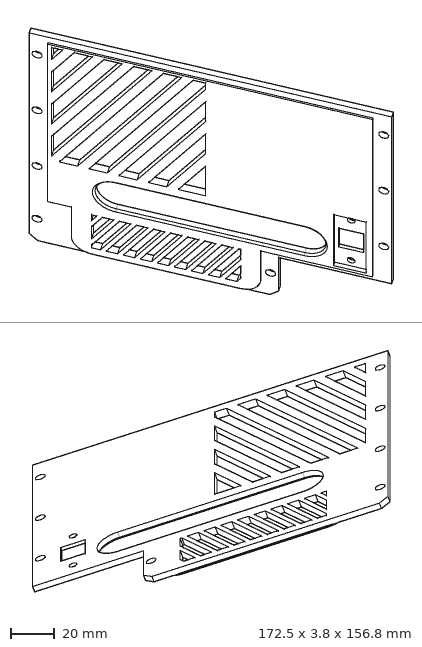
import cadquery as cq
import math

plate_width = 172.5
plate_height = 156.8
total_thickness = 3.8
panel_rise = 0.9
plate_thickness = total_thickness - panel_rise
step_x = 118.7
step_z = 29.7
corner_chamfer = 4.1

panel_side_margin = 9.0
panel_top_margin = 4.1
panel_step_z = 32.8
panel_tab_left = 20.4
panel_tab_right = 110.5
panel_tab_bottom = 0.5
panel_tab_radius = 10.0

mount_hole_diameter = 4.7
mount_hole_inset = 3.8
mount_hole_top_z = 141.7
mount_hole_pitch = 42.5
mount_hole_rows = 3
tab_hole_x = step_x - mount_hole_inset
tab_hole_z = 16.5

vent_angle = 60.0

handle_left = 30.4
handle_right = 142.2
handle_bottom = 37.0
handle_top = 59.0
handle_chamfer = 1.0

recess_left = 145.1
recess_bottom = 34.5
recess_width = 15.5
recess_height = 38.8
recess_depth = 2.0
window_width = 11.9
window_height = 14.1
screw_hole_diameter = 3.6
screw_hole_spacing = 30.4

front_y = -total_thickness


def front_plane(y):
    """Sketch plane at depth y with local x = X and local y = Z; extrusions go toward -Y."""
    return cq.Workplane("XZ", origin=(0, y, 0))


def rectangle(y, left, bottom, width, height, depth):
    """Block with its lower left corner given, running from y toward the front."""
    return front_plane(y).center(left, bottom).rect(width, height, centered=False).extrude(depth)


def make_plate():
    outline = [
        (corner_chamfer, 0),
        (step_x - corner_chamfer, 0),
        (step_x, corner_chamfer),
        (step_x, step_z),
        (plate_width, step_z),
        (plate_width, plate_height),
        (0, plate_height),
        (0, corner_chamfer),
    ]
    return front_plane(0).polyline(outline).close().extrude(plate_thickness)


def make_panel():
    main_width = plate_width - 2 * panel_side_margin
    main_height = plate_height - panel_top_margin - panel_step_z
    tab_width = panel_tab_right - panel_tab_left
    tab_height = panel_step_z - panel_tab_bottom
    main = rectangle(-plate_thickness, panel_side_margin, panel_step_z, main_width, main_height, panel_rise)
    tab = rectangle(-plate_thickness, panel_tab_left, panel_tab_bottom, tab_width, tab_height, panel_rise)
    return main.union(tab.edges("|Y and <Z").fillet(panel_tab_radius))


def make_mount_holes():
    points = [(mount_hole_inset, tab_hole_z), (tab_hole_x, tab_hole_z)]
    for row in range(mount_hole_rows):
        z = mount_hole_top_z - row * mount_hole_pitch
        points.append((mount_hole_inset, z))
        points.append((plate_width - mount_hole_inset, z))
    return front_plane(0).pushPoints(points).circle(mount_hole_diameter / 2).extrude(total_thickness)


def make_vent(left, bottom, width, height, first_bar, bar_count, bar_run, pitch_run):
    """Opening crossed by slanted bars.

    first_bar is the distance from the top left corner to the first bar;
    it, bar_run and pitch_run are all measured along X.
    """
    opening = rectangle(0, left, bottom, width, height, total_thickness)
    lean = height / math.tan(math.radians(vent_angle))
    for bar in range(bar_count):
        top_x = left + first_bar + bar * pitch_run
        outline = [
            (top_x, bottom + height),
            (top_x + bar_run, bottom + height),
            (top_x + bar_run - lean, bottom),
            (top_x - lean, bottom),
        ]
        opening = opening.cut(front_plane(0).polyline(outline).close().extrude(total_thickness))
    return opening


def make_handle_opening():
    width = handle_right - handle_left
    height = handle_top - handle_bottom
    center_x = (handle_left + handle_right) / 2
    center_z = (handle_bottom + handle_top) / 2
    inner = front_plane(0).center(center_x, center_z)
    inner = inner.slot2D(width - 2 * handle_chamfer, height - 2 * handle_chamfer).extrude(total_thickness)
    outer = front_plane(front_y).center(center_x, center_z).slot2D(width, height)
    bevel = outer.extrude(-handle_chamfer, taper=45)
    return inner.union(bevel)


def make_switch_cutout():
    center_x = recess_left + recess_width / 2
    center_z = recess_bottom + recess_height / 2
    floor = front_y + recess_depth
    recess = rectangle(floor, recess_left, recess_bottom, recess_width, recess_height, recess_depth)
    center = front_plane(0).center(center_x, center_z)
    window = center.rect(window_width, window_height).extrude(total_thickness)
    screws = center.rarray(1.7, screw_hole_spacing, 1, 2)
    screws = screws.circle(screw_hole_diameter / 2).extrude(total_thickness)
    return recess.union(window).union(screws)


large_vent = make_vent(
    left=10.9, bottom=65.0, width=73.3, height=85.8,
    first_bar=5.3, bar_count=8, bar_run=5.5, pitch_run=14.1,
)
small_vent = make_vent(
    left=29.9, bottom=5.3, width=71.1, height=25.0,
    first_bar=2.6, bar_count=11, bar_run=2.8, pitch_run=8.1,
)

result = make_plate().union(make_panel())
result = result.cut(make_mount_holes())
result = result.cut(large_vent)
result = result.cut(small_vent)
result = result.cut(make_handle_opening())
result = result.cut(make_switch_cutout())